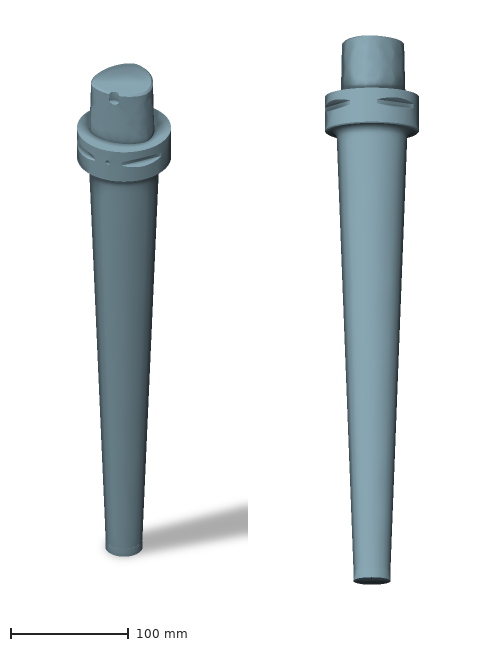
import cadquery as cq
import math

total_length = 468.0
shank_length = 48.0
bottom_z = shank_length - total_length

flange_diameter = 80.0
flange_height = 30.5
flange_edge_chamfer = 1.0
neck_fillet_radius = 5.5
neck_diameter = 60.0
neck_start_depth = 36.0
neck_end_diameter = 31.5
tip_diameter = 32.0
tip_length = 8.0

shank_diameter = 55.0
lobe_offset = 2.0
taper_ratio = 1 / 20
shank_chamfer = 1.65
points_per_lobe = 12

notch_diameter = 10.0
notch_depth = 10.8
notch_cone_height = 2.5
notch_intrusion = 3.0

groove_depth_below_face = 11.5
groove_radial_depth = 4.5
groove_floor_width = 3.5
groove_side_angle = 30.0
groove_overcut = 2.5
index_hole_diameter = 4.0
index_hole_depth = 4.5


def make_revolved_body():
    """Flange, filleted transition, long taper and cylindrical tip."""
    flange_radius = flange_diameter / 2
    edge_radius = flange_radius - flange_edge_chamfer
    neck_radius = neck_diameter / 2
    fillet_x = neck_radius + neck_fillet_radius
    fillet_z = -neck_start_depth
    reach = neck_fillet_radius * math.cos(math.radians(45))
    fillet_middle = (fillet_x - reach, fillet_z + reach)
    return (
        cq.Workplane("XZ")
        .lineTo(flange_radius, 0)
        .lineTo(flange_radius, flange_edge_chamfer - flange_height)
        .lineTo(edge_radius, -flange_height)
        .lineTo(fillet_x, fillet_z + neck_fillet_radius)
        .threePointArc(fillet_middle, (neck_radius, fillet_z))
        .lineTo(neck_end_diameter / 2, bottom_z + tip_length)
        .lineTo(tip_diameter / 2, bottom_z + tip_length)
        .lineTo(tip_diameter / 2, bottom_z)
        .lineTo(0, bottom_z)
        .close()
        .revolve(360, (0, 0), (0, 1))
    )


def lobed_wire(diameter, z):
    """Closed trochoid outline with one lobe pointing along +Y."""
    count = 3 * points_per_lobe
    points = []
    for i in range(count):
        angle = 2 * math.pi * i / count
        along = (
            diameter / 2 * math.cos(angle)
            - 2 * lobe_offset * math.cos(2 * angle)
            + lobe_offset * math.cos(4 * angle)
        )
        across = (
            diameter / 2 * math.sin(angle)
            + 2 * lobe_offset * math.sin(2 * angle)
            + lobe_offset * math.sin(4 * angle)
        )
        points.append(cq.Vector(across, -along, z))
    return cq.Wire.assembleEdges([cq.Edge.makeSpline(points, periodic=True)])


def make_shank():
    """Tapered lobed shank with a chamfered top edge."""
    chamfer_z = shank_length - shank_chamfer
    chamfer_diameter = shank_diameter - taper_ratio * chamfer_z
    base = lobed_wire(shank_diameter, 0)
    shoulder = lobed_wire(chamfer_diameter, chamfer_z)
    top = lobed_wire(chamfer_diameter - 2 * shank_chamfer, shank_length)
    return cq.Workplane(cq.Solid.makeLoft([base, shoulder, top], True))


def make_notch():
    """Upright round cutter with a conical end, just entering the -Y flat."""
    flat_y = -(shank_diameter - taper_ratio * shank_length) / 2 + lobe_offset
    radius = notch_diameter / 2
    cone_end_radius = radius - notch_cone_height
    profile = [
        (0, shank_length),
        (radius, shank_length),
        (radius, shank_length - notch_depth + notch_cone_height),
        (cone_end_radius, shank_length - notch_depth),
        (0, shank_length - notch_depth),
    ]
    cutter = cq.Workplane("XZ").polyline(profile).close().revolve(360, (0, 0), (0, 1))
    return cutter.translate((0, flat_y + notch_intrusion - radius, 0))


def make_groove(angle):
    """Straight flat-bottomed V groove across the rim, centred at an angle about Z."""
    floor_x = flange_diameter / 2 - groove_radial_depth
    outer_x = flange_diameter / 2 + groove_overcut
    half_floor = groove_floor_width / 2
    half_mouth = half_floor + (outer_x - floor_x) * math.tan(math.radians(groove_side_angle))
    section = [
        (floor_x, -half_floor),
        (outer_x, -half_mouth),
        (outer_x, half_mouth),
        (floor_x, half_floor),
    ]
    return (
        cq.Workplane("XZ")
        .polyline(section)
        .close()
        .extrude(flange_diameter)
        .translate((0, flange_diameter / 2, -groove_depth_below_face))
        .rotate((0, 0, 0), (0, 0, 1), angle)
    )


def make_index_hole():
    """Blind radial hole on the -Y side of the flange."""
    return (
        cq.Workplane("XZ", origin=(0, -flange_diameter / 2 + index_hole_depth, -groove_depth_below_face))
        .circle(index_hole_diameter / 2)
        .extrude(index_hole_depth)
    )


result = make_revolved_body().union(make_shank()).cut(make_notch()).cut(make_index_hole())
for groove_angle in (45, 135, 225, 315):
    result = result.cut(make_groove(groove_angle))